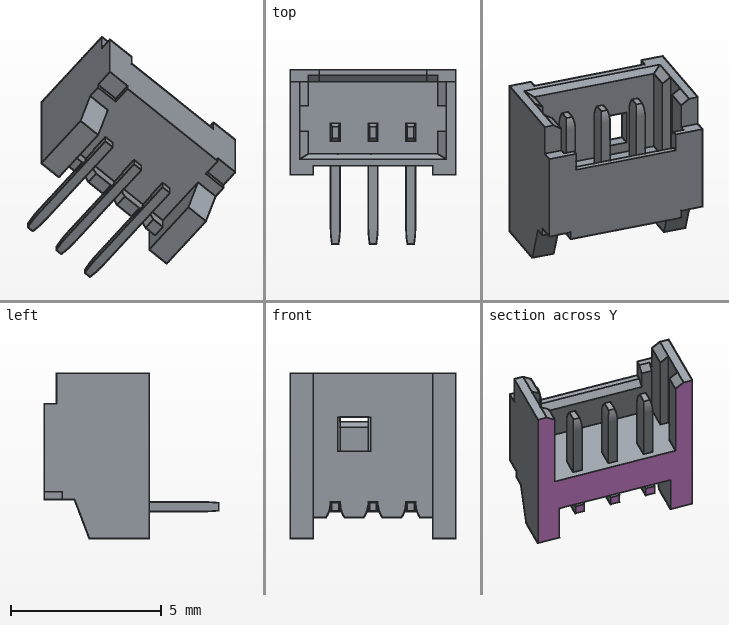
import cadquery as cq
import math


housing_width = 5.5
housing_height = 5.5
housing_depth = 3.5
overall_depth = 5.8
half_width = housing_width / 2

wing_width = 0.77
inner_half_width = half_width - wing_width
wing_shoulder_z = 4.49
wing_rear_y = 3.09
body_bottom_z = 1.3
leg_rear_top_y = 2.495
leg_rear_foot_y = 2.0
notch_depth = 0.605
notch_height = 0.26

front_wall_y = 0.3
front_wall_bottom_z = 0.7

cavity_floor_z = 2.565
pocket_half_width = 2.145
pocket_front_y = 0.7
mouth_half_width = 2.435
mouth_front_y = 0.52
bevel_height = 0.19
side_groove_y = (1.455, 2.3)

rear_opening_half_width = 1.785
rear_opening_z = 3.885
rear_bevel_depth = 0.215

window_x = (-1.165, -0.07)
window_z = (2.905, 4.035)

pin_count = 3
pin_pitch = 1.25
pin_size = 0.325
blade_depth = 0.605
blade_rear_y = 1.715
blade_top_z = 4.8
blade_tip_width = 0.215
blade_tip_depth = 0.38
tail_center_z = 1.06
tail_bottom_z = tail_center_z - pin_size / 2
tail_top_z = tail_center_z + pin_size / 2
tail_end_y = housing_depth - overall_depth
tail_tip_width = 0.225
tail_tip_height = 0.265
blade_tip_length = 0.4
tail_tip_length = 0.605

flare_width = 0.145
flare_start_z = 1.16

pin_positions = [(i - (pin_count - 1) / 2) * pin_pitch for i in range(pin_count)]


def box(x_range, y_range, z_range):
    """Axis-aligned box between pairs of limits."""
    sizes = [limits[1] - limits[0] for limits in (x_range, y_range, z_range)]
    corner = (x_range[0], y_range[0], z_range[0])
    return cq.Workplane("XY").box(*sizes, centered=False).translate(corner)


def extrude_along_x(points, x_range):
    """Prism along X with a (Y, Z) outline."""
    outline = cq.Workplane("YZ").workplane(offset=x_range[0]).polyline(points).close()
    return outline.extrude(x_range[1] - x_range[0])


def make_wing():
    """Left side wing, reaching down as a mounting leg."""
    outline = [
        (0, 0),
        (leg_rear_foot_y, 0),
        (leg_rear_top_y, body_bottom_z),
        (housing_depth - notch_depth, body_bottom_z),
        (housing_depth - notch_depth, body_bottom_z + notch_height),
        (housing_depth, body_bottom_z + notch_height),
        (housing_depth, wing_shoulder_z),
        (wing_rear_y, wing_shoulder_z),
        (wing_rear_y, housing_height),
        (0, housing_height),
    ]
    return extrude_along_x(outline, (-half_width, -inner_half_width))


def make_center_body():
    """Block between the wings, with the front wall reaching below it."""
    outline = [
        (front_wall_y, front_wall_bottom_z),
        (pocket_front_y, front_wall_bottom_z),
        (pocket_front_y, body_bottom_z),
        (housing_depth, body_bottom_z),
        (housing_depth, wing_shoulder_z),
        (wing_rear_y, wing_shoulder_z),
        (wing_rear_y, housing_height),
        (front_wall_y, housing_height),
    ]
    return extrude_along_x(outline, (-inner_half_width, inner_half_width))


def make_cavity():
    """Open-topped cavity with bevelled mouth and side grooves."""
    pocket_x = (-pocket_half_width, pocket_half_width)
    mouth_x = (-mouth_half_width, mouth_half_width)
    pocket = box(pocket_x, (pocket_front_y, wing_rear_y), (cavity_floor_z, housing_height))
    grooves = box(mouth_x, side_groove_y, (cavity_floor_z, housing_height))

    mouth_depth = wing_rear_y - mouth_front_y
    pocket_depth = wing_rear_y - pocket_front_y
    mouth = (
        cq.Workplane("XY", origin=(0, 0, housing_height - bevel_height))
        .center(0, wing_rear_y - pocket_depth / 2)
        .rect(2 * pocket_half_width, pocket_depth)
        .workplane(offset=bevel_height)
        .center(0, (pocket_depth - mouth_depth) / 2)
        .rect(2 * mouth_half_width, mouth_depth)
        .loft(ruled=True)
    )
    return pocket.union(grooves).union(mouth)


def make_rear_bevel(top_z, half_length):
    """Wedge that bevels the inner top edge of the rear wall."""
    outline = [
        (wing_rear_y, top_z - bevel_height),
        (wing_rear_y + rear_bevel_depth, top_z),
        (wing_rear_y, top_z),
    ]
    return extrude_along_x(outline, (-half_length, half_length))


def make_rear_opening():
    """Lowered middle of the rear wall, and the bevels on both levels."""
    opening = box(
        (-rear_opening_half_width, rear_opening_half_width),
        (wing_rear_y, housing_depth),
        (rear_opening_z, housing_height),
    )
    lower_bevel = make_rear_bevel(rear_opening_z, rear_opening_half_width)
    upper_bevel = make_rear_bevel(wing_shoulder_z, pocket_half_width)
    return opening.union(lower_bevel).union(upper_bevel)


def side_arc_middle(start, end):
    """Middle of the arc that leaves start parallel to the second axis and meets end."""
    side = end[0] - start[0]
    length = end[1] - start[1]
    radius = (side**2 + length**2) / (2 * abs(side))
    half_angle = math.asin(abs(length) / radius) / 2
    return (
        start[0] + math.copysign(radius * (1 - math.cos(half_angle)), side),
        start[1] + math.copysign(radius * math.sin(half_angle), length),
    )


def curved_side_outline(plane, half_width_start, half_width_end, base, shoulder, end):
    """Symmetric outline, straight from base to shoulder, then curving to the end width."""
    left_shoulder = (-half_width_start, shoulder)
    right_shoulder = (half_width_start, shoulder)
    left_end = (-half_width_end, end)
    right_end = (half_width_end, end)
    return (
        plane.moveTo(-half_width_start, base)
        .lineTo(*left_shoulder)
        .threePointArc(side_arc_middle(left_shoulder, left_end), left_end)
        .lineTo(*right_end)
        .threePointArc(side_arc_middle(right_shoulder, right_end), right_shoulder)
        .lineTo(half_width_start, base)
        .close()
    )


def make_tail_slot(x):
    """Slot around a pin tail, flaring outward to the bottom of the front wall."""
    outline = curved_side_outline(
        cq.Workplane("XZ", origin=(x, front_wall_y, 0)),
        pin_size / 2,
        pin_size / 2 + flare_width,
        tail_top_z,
        flare_start_z,
        front_wall_bottom_z,
    )
    return outline.extrude(front_wall_y - pocket_front_y)


def make_blade():
    """Upright blade of a pin at X = 0, tapering to the tip in both directions."""
    shoulder_z = blade_top_z - blade_tip_length
    blade_center_y = blade_rear_y - blade_depth / 2
    front_profile = curved_side_outline(
        cq.Workplane("XZ"),
        pin_size / 2, blade_tip_width / 2, tail_bottom_z, shoulder_z, blade_top_z,
    ).extrude(-blade_rear_y)
    side_profile = curved_side_outline(
        cq.Workplane("YZ", origin=(0, blade_center_y, 0)),
        blade_depth / 2, blade_tip_depth / 2, tail_bottom_z, shoulder_z, blade_top_z,
    ).extrude(pin_size / 2, both=True)
    return front_profile.intersect(side_profile)


def make_tail():
    """Horizontal tail of a pin at X = 0, tapering to the tip in both directions."""
    shoulder_y = tail_end_y + tail_tip_length
    plan_profile = curved_side_outline(
        cq.Workplane("XY", origin=(0, 0, tail_center_z)),
        pin_size / 2, tail_tip_width / 2, blade_rear_y, shoulder_y, tail_end_y,
    ).extrude(pin_size / 2, both=True)
    side_plane = cq.Plane(origin=(0, 0, tail_center_z), xDir=(0, 0, 1), normal=(-1, 0, 0))
    side_profile = curved_side_outline(
        cq.Workplane(side_plane),
        pin_size / 2, tail_tip_height / 2, blade_rear_y, shoulder_y, tail_end_y,
    ).extrude(pin_size / 2, both=True)
    return plan_profile.intersect(side_profile)


left_wing = make_wing()
housing = make_center_body().union(left_wing).union(left_wing.mirror("YZ"))
housing = housing.cut(make_cavity()).cut(make_rear_opening())
housing = housing.cut(box(window_x, (front_wall_y, pocket_front_y), window_z))

pin = make_blade().union(make_tail())
result = housing
for pin_x in pin_positions:
    result = result.cut(make_tail_slot(pin_x))
    result = result.union(pin.translate((pin_x, 0, 0)))